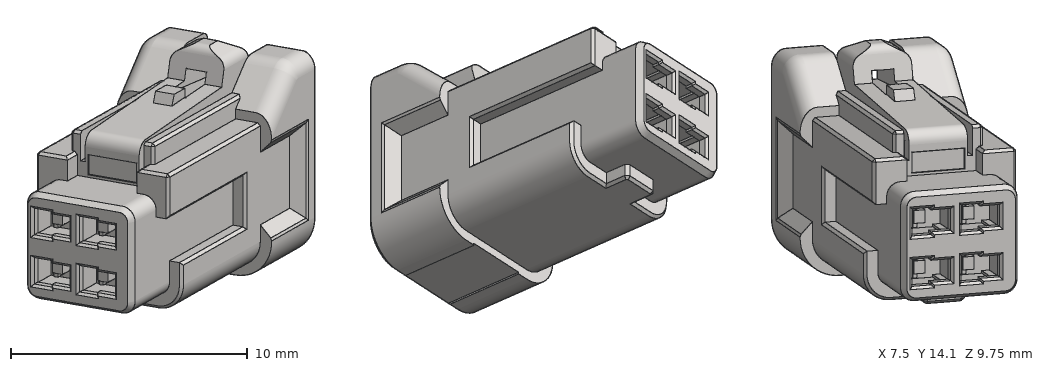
import cadquery as cq
import math


LENGTH = 14.05
EDGE = 0.13

CORE_HALF = 2.6
CORE_BOTTOM = 1.15
CORE_TOP = 5.9
CORE_RADIUS = 0.6
CORE_TIP_INSET = 0.18
CORE_TIP_LENGTH = 0.31

CAVITY_PITCH = 2.19
CAVITY_LEFT = -2.16
CAVITY_STEP = -1.3
CAVITY_RIGHT = -0.44
CAVITY_ROW_Z = 4.61
CAVITY_TALL_HALF = 0.59
CAVITY_SHORT_HALF = 0.48
CAVITY_DEPTH = 1.69
CAVITY_CHAMFER = 0.11
CHAMBER_FRONT = 0.42
CHAMBER_GROW = 0.07
CHAMBER_STEP = -0.7
LANCE_HALF = 0.49
LANCE_FRONT = 1.12
LANCE_NOSE = -1.77
LANCE_BACK = -1.59
TONGUE_HALF = 0.28
TONGUE_RIGHT = -1.28
TONGUE_FRONT = 0.98

BODY_HALF = 3.2
BODY_BOTTOM = 0.48
BODY_TOP = 6.95
BODY_RADIUS = 1.2
ARM_FRONT = 2.14
ARM_INNER = 1.69
WALL_FRONT = 2.99
SKIRT_FRONT = 3.3
RECESS_BOTTOM = 2.7
RECESS_TOP = 4.99
RECESS_BACK = 8.81
PAD_HALF = 0.93
PAD_CHAMFER = 0.15

FLANGE_FRONT = 10.1
FLANGE_HALF = 3.75
FLANGE_TOP = 9.15
FLANGE_TOP_RADIUS = 0.79
FLANGE_BOTTOM_RADIUS = 1.75
FLANGE_BACK_CHAMFER = 0.18
FLANGE_BACK_RADIUS = 0.41
SLOPE_FRONT_Z = 7.39
CREST_Y = 12.03
CREST_RADIUS = 1.01
NOTCH_HALF = 1.48
NOTCH_DEPTH = 0.08
GRIP_BOTTOM = 2.43
GRIP_TOP = 5.66
GRIP_BACK = 12.66
GRIP_LIP_DEPTH = 0.04
GRIP_LIP_WIDTH = 0.13

RAIL_HALF = 2.01
RAIL_TOP = 7.88
RAIL_BACK = 10.96
CHANNEL_HALF = 1.53
CHANNEL_FLOOR = 6.58

LATCH_HALF = 1.3
LATCH_BEND_RADIUS = 0.59
LATCH_GAP_FRONT = WALL_FRONT + LATCH_BEND_RADIUS
LATCH_UNDERSIDE = 7.3
BEAM_FRONT_Z = 7.83
BEAM_BACK_Z = 8.23
HOOK_FRONT = 10.16
HOOK_BACK = 12.46
HOOK_LEAN = 0.31
HOOK_SHOULDER = 9.4
HOOK_TOP = 9.75
HOOK_EDGE_INSET = 0.3
HOOK_EDGE_DROP = 0.46
HOOK_EDGE_RADIUS = 0.56
HOOK_PEAK_HALF = 0.34
HOOK_PEAK_FRONT = 10.92
HOOK_PEAK_BACK = 11.55
HOOK_NOSE_RADIUS = 0.46
WINDOW_HALF = 0.49
WINDOW_TOP = 8.74
STOP_FRONT = 7.35
STOP_BACK = 8.5
STOP_HALF = 0.45
STOP_TOP = 8.53
STOP_LEAN = 0.22
STOP_FOOT_Z = 8.01
RAMP_BACK_Z = 7.81

LABEL_HALF = 1.18
LABEL_BOTTOM = 6.01
LABEL_TOP = 6.91
LABEL_DEPTH = 0.1


def block(x0, x1, y0, y1, z0, z1):
    """Box given by its limits on each axis."""
    return cq.Workplane("XY").box(x1 - x0, y1 - y0, z1 - z0, centered=False).translate((x0, y0, z0))


def plane_at(y):
    """Plane at y facing -Y, with local axes X and Z."""
    return cq.Workplane("XZ", origin=(0, y, 0))


def edges_at(solid, points):
    """Edges of the solid whose midpoints are nearest to the given points."""
    picked = solid.edges(cq.selectors.NearestToPointSelector(points[0]))
    for point in points[1:]:
        picked = picked.add(solid.edges(cq.selectors.NearestToPointSelector(point)))
    return picked


def make_core():
    core = block(-CORE_HALF, CORE_HALF, 0, FLANGE_FRONT, CORE_BOTTOM, CORE_TOP)
    core = core.edges("|Y").fillet(CORE_RADIUS)
    return core.faces("<Y").chamfer(CORE_TIP_INSET, CORE_TIP_LENGTH)


def make_body():
    body = block(-BODY_HALF, BODY_HALF, SKIRT_FRONT, FLANGE_FRONT, BODY_BOTTOM, BODY_TOP)
    body = body.edges("|Y and <Z").fillet(BODY_RADIUS)
    body = body.union(block(-BODY_HALF, BODY_HALF, ARM_FRONT, SKIRT_FRONT, RECESS_TOP, BODY_TOP))
    body = body.cut(block(-ARM_INNER, ARM_INNER, ARM_FRONT, WALL_FRONT, RECESS_TOP, BODY_TOP))
    for x0, x1 in ((-BODY_HALF, -CORE_HALF), (CORE_HALF, BODY_HALF)):
        body = body.cut(block(x0, x1, SKIRT_FRONT, RECESS_BACK, RECESS_BOTTOM, RECESS_TOP))
    return body


def chamfer_body(body):
    recess_middle = (RECESS_BOTTOM + RECESS_TOP) / 2
    arm_middle = (RECESS_TOP + BODY_TOP) / 2
    for side in (-1, 1):
        outer = side * BODY_HALF
        body = edges_at(body, [
            (side * (ARM_INNER + BODY_HALF) / 2, ARM_FRONT, BODY_TOP),
            (outer, ARM_FRONT, arm_middle),
            (outer, (ARM_FRONT + FLANGE_FRONT) / 2, BODY_TOP),
            (side * ARM_INNER, (ARM_FRONT + WALL_FRONT) / 2, BODY_TOP),
        ]).chamfer(EDGE)
        body = edges_at(body, [
            (outer, (ARM_FRONT + RECESS_BACK) / 2, RECESS_TOP),
            (outer, RECESS_BACK, recess_middle),
            (outer, (SKIRT_FRONT + RECESS_BACK) / 2, RECESS_BOTTOM),
        ]).chamfer(EDGE)
    skirt_arc = BODY_RADIUS * (1 - math.sqrt(0.5))
    skirt_side_z = (RECESS_BOTTOM + BODY_BOTTOM + BODY_RADIUS) / 2
    skirt_points = [(0, SKIRT_FRONT, BODY_BOTTOM)]
    for side in (-1, 1):
        skirt_points.append((side * BODY_HALF, SKIRT_FRONT, skirt_side_z))
        skirt_points.append((side * (BODY_HALF - skirt_arc), SKIRT_FRONT, BODY_BOTTOM + skirt_arc))
    return edges_at(body, skirt_points).chamfer(EDGE)


def make_pad():
    """Short tongue under the core, ahead of the skirt."""
    pad = block(-PAD_HALF, PAD_HALF, ARM_FRONT, SKIRT_FRONT + PAD_CHAMFER, BODY_BOTTOM, CORE_BOTTOM)
    return pad.faces("<Y").edges("|Z").chamfer(PAD_CHAMFER).faces("<Z").edges("not >Y").chamfer(EDGE)


def make_flange():
    outline = [
        (FLANGE_FRONT, 0),
        (LENGTH, 0),
        (LENGTH, FLANGE_TOP),
        (CREST_Y, FLANGE_TOP),
        (FLANGE_FRONT, SLOPE_FRONT_Z),
    ]
    flange = cq.Workplane("YZ").polyline(outline).close().extrude(FLANGE_HALF, both=True)
    flange = edges_at(flange, [(0, CREST_Y, FLANGE_TOP)]).fillet(CREST_RADIUS)
    flange = flange.edges("|Y and <Z").fillet(FLANGE_BOTTOM_RADIUS)
    slope_y = (CREST_Y + FLANGE_FRONT) / 2
    slope_z = (FLANGE_TOP + SLOPE_FRONT_Z) / 2
    crest_edges = []
    for side in (-FLANGE_HALF, FLANGE_HALF):
        crest_edges.append((side, (CREST_Y + LENGTH) / 2, FLANGE_TOP))
        crest_edges.append((side, CREST_Y, FLANGE_TOP))
        crest_edges.append((side, slope_y, slope_z))
    flange = edges_at(flange, crest_edges).fillet(FLANGE_TOP_RADIUS)
    flange = flange.faces(">Y").chamfer(FLANGE_BACK_CHAMFER)
    notch = block(-NOTCH_HALF, NOTCH_HALF, FLANGE_FRONT, LENGTH, 0, NOTCH_DEPTH)
    return flange.cut(notch).cut(make_back_rounding())


def make_back_rounding():
    """Waste outside the rounded top back edge of the flange."""
    return (
        cq.Workplane("YZ")
        .moveTo(LENGTH - FLANGE_BACK_RADIUS, FLANGE_TOP)
        .radiusArc((LENGTH, FLANGE_TOP - FLANGE_BACK_RADIUS), FLANGE_BACK_RADIUS)
        .lineTo(LENGTH, FLANGE_TOP)
        .close()
        .extrude(FLANGE_HALF, both=True)
    )


def make_grip():
    """Tapered finger grip on the +X side of the flange, open to the front."""
    front = SKIRT_FRONT
    height = GRIP_TOP - GRIP_BOTTOM
    length = GRIP_BACK - front
    depth = FLANGE_HALF - BODY_HALF - GRIP_LIP_DEPTH
    grow = 2 * depth
    lip_grow = grow + 2 * GRIP_LIP_WIDTH
    floor = cq.Workplane("YZ", origin=(BODY_HALF, (front + GRIP_BACK) / 2, (GRIP_BOTTOM + GRIP_TOP) / 2))
    return (
        floor.rect(length, height)
        .workplane(offset=depth).rect(length + grow, height + grow)
        .workplane(offset=GRIP_LIP_DEPTH).rect(length + lip_grow, height + lip_grow)
        .loft(ruled=True)
    )


def make_rails():
    rails = block(-RAIL_HALF, RAIL_HALF, WALL_FRONT, RAIL_BACK, CHANNEL_FLOOR, RAIL_TOP)
    return rails.edges("(|Y and >Z) or (<Y and |Z) or (<Y and >Z)").chamfer(EDGE)


def make_latch():
    """Beam rising from the front wall, ending in a hook with a raised peak."""
    shoulder_front = HOOK_FRONT + HOOK_LEAN
    side = (
        cq.Workplane("YZ")
        .moveTo(WALL_FRONT, CHANNEL_FLOOR)
        .lineTo(WALL_FRONT, BEAM_FRONT_Z - LATCH_BEND_RADIUS)
        .radiusArc((WALL_FRONT + LATCH_BEND_RADIUS, BEAM_FRONT_Z), LATCH_BEND_RADIUS)
        .lineTo(HOOK_FRONT, BEAM_BACK_Z)
        .lineTo(shoulder_front, HOOK_SHOULDER)
        .radiusArc((HOOK_PEAK_FRONT, HOOK_TOP), HOOK_NOSE_RADIUS)
        .lineTo(HOOK_PEAK_BACK, HOOK_TOP)
        .lineTo(HOOK_BACK - HOOK_EDGE_INSET, HOOK_SHOULDER)
        .radiusArc((HOOK_BACK, HOOK_SHOULDER - HOOK_EDGE_DROP), HOOK_EDGE_RADIUS)
        .lineTo(HOOK_BACK, LATCH_UNDERSIDE)
        .lineTo(LATCH_GAP_FRONT, LATCH_UNDERSIDE)
        .lineTo(LATCH_GAP_FRONT, CHANNEL_FLOOR)
        .close()
        .extrude(LATCH_HALF, both=True)
    )
    section = (
        plane_at(LENGTH)
        .moveTo(-LATCH_HALF, CHANNEL_FLOOR)
        .lineTo(-LATCH_HALF, HOOK_SHOULDER - HOOK_EDGE_DROP)
        .radiusArc((HOOK_EDGE_INSET - LATCH_HALF, HOOK_SHOULDER), HOOK_EDGE_RADIUS)
        .lineTo(-HOOK_PEAK_HALF, HOOK_TOP)
        .lineTo(HOOK_PEAK_HALF, HOOK_TOP)
        .lineTo(LATCH_HALF - HOOK_EDGE_INSET, HOOK_SHOULDER)
        .radiusArc((LATCH_HALF, HOOK_SHOULDER - HOOK_EDGE_DROP), HOOK_EDGE_RADIUS)
        .lineTo(LATCH_HALF, CHANNEL_FLOOR)
        .close()
        .extrude(LENGTH)
    )
    return side.intersect(section)


def make_window():
    """Ramped slot in the beam that runs back through the hook."""
    outline = [
        (STOP_BACK, BEAM_BACK_Z - 0.14),
        (HOOK_BACK, RAMP_BACK_Z),
        (HOOK_BACK, WINDOW_TOP),
        (STOP_BACK, WINDOW_TOP),
    ]
    return cq.Workplane("YZ").polyline(outline).close().extrude(WINDOW_HALF, both=True)


def make_stop():
    """Small block with a leaning front, standing on the beam."""
    outline = [
        (STOP_BACK, LATCH_UNDERSIDE),
        (STOP_BACK, STOP_TOP),
        (STOP_FRONT + STOP_LEAN, STOP_TOP),
        (STOP_FRONT, STOP_FOOT_Z),
        (STOP_FRONT, LATCH_UNDERSIDE),
    ]
    return cq.Workplane("YZ").polyline(outline).close().extrude(STOP_HALF, both=True)


def cavity_outline(grow, step):
    """Outline that is taller left of the step, grown outwards on the other sides."""
    left = CAVITY_LEFT - grow
    right = CAVITY_RIGHT + grow
    tall = CAVITY_TALL_HALF + grow
    short = CAVITY_SHORT_HALF + grow
    return [
        (left, -tall), (step, -tall), (step, -short), (right, -short),
        (right, short), (step, short), (step, tall), (left, tall),
    ]


def make_cavity():
    """Left-hand cavity with its contact lance, centred on z = 0."""
    opening = cavity_outline(0, CAVITY_STEP)
    mouth_edge = cavity_outline(CAVITY_CHAMFER, CAVITY_STEP + CAVITY_CHAMFER)
    throat = plane_at(0).polyline(opening).close().extrude(-CAVITY_DEPTH)
    mouth = (
        plane_at(0).polyline(mouth_edge).close()
        .workplane(offset=-CAVITY_CHAMFER).polyline(opening).close()
        .loft(ruled=True)
    )
    chamber = (
        plane_at(CHAMBER_FRONT).polyline(cavity_outline(CHAMBER_GROW, CHAMBER_STEP)).close()
        .extrude(CHAMBER_FRONT - CAVITY_DEPTH)
    )
    lance_outline = [
        (CAVITY_LEFT, CAVITY_DEPTH),
        (LANCE_NOSE, LANCE_FRONT),
        (LANCE_BACK, LANCE_FRONT),
        (LANCE_BACK, CAVITY_DEPTH),
    ]
    lance = cq.Workplane("XY").polyline(lance_outline).close().extrude(LANCE_HALF, both=True)
    tongue = block(LANCE_NOSE, TONGUE_RIGHT, TONGUE_FRONT, CAVITY_DEPTH, -TONGUE_HALF, TONGUE_HALF)
    return throat.union(mouth).union(chamber).cut(lance).cut(tongue)


housing = make_core().union(chamfer_body(make_body())).union(make_pad())
housing = housing.union(make_flange()).union(make_rails())

grip = make_grip()
housing = housing.cut(grip).cut(grip.mirror("YZ"))

housing = housing.cut(
    block(-CHANNEL_HALF, CHANNEL_HALF, WALL_FRONT, LENGTH, CHANNEL_FLOOR, HOOK_TOP)
)
housing = housing.union(make_latch().cut(make_window()).union(make_stop()))

housing = housing.cut(
    block(-LABEL_HALF, LABEL_HALF, WALL_FRONT, WALL_FRONT + LABEL_DEPTH, LABEL_BOTTOM, LABEL_TOP)
)

cavity = make_cavity()
for column in range(2):
    for row in range(2):
        offset = (column * CAVITY_PITCH, 0, CAVITY_ROW_Z - row * CAVITY_PITCH)
        housing = housing.cut(cavity.translate(offset))

result = housing